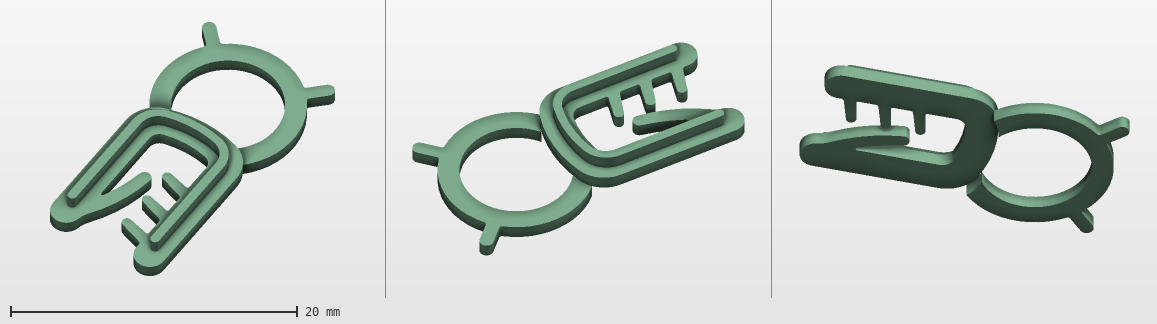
import cadquery as cq
import math

stack_height = 3
body_count = 3
layer = stack_height / body_count

ring_outer_radius = 5.5
ring_inner_radius = 3.98
horn_angles = (45, 135)
horn_tip_radius = 0.5
horn_tip_offset = ring_outer_radius - horn_tip_radius
horn_reach = horn_tip_offset * math.sqrt(2)
horn_root_fillet = 0.2

clip_half_width = 4.67
clip_top = -2.92
clip_bottom = -16.0
clip_crown_radius = 9.4
clip_corner_radius = 2.52
slot_half_width = 2.39
slot_top = -5.22
slot_crown_radius = 7.52
slot_corner_radius = 0.85
leg_end_radius = (clip_half_width - slot_half_width) / 2
leg_end_y = clip_bottom + leg_end_radius
leg_x = slot_half_width + leg_end_radius

tooth_count = 3
tooth_pitch = 2.5
tooth_tip_x = 0.58
first_tooth_y = -8.38
tooth_tip_radius = 0.37
tooth_upper_slope = math.radians(14.7)
tooth_lower_slope = math.radians(19)
tooth_upper_fillet = 0.13
tooth_lower_fillet = 0.25

lip_tip_x = -0.69
lip_tip_y = -9.33
lip_tip_radius = 0.47
lip_tilt = math.radians(9)
lip_inner_middle = (-1.61, -10.96)
lip_crotch = (-slot_half_width, -12.75)
lip_crotch_fillet = 0.13
lip_outer_middle = (-0.85, -11.95)
lip_outer_end = (-2.06, -14.23)
lip_blend_end = (-2.4, -15.1)

core_outer_half_width = 3.83
core_outer_top = -3.85
core_outer_crown_radius = 8.82
core_outer_corner_radius = 2.1
core_inner_half_width = 3.15
core_inner_top = -4.45
core_inner_crown_radius = 8.17
core_inner_corner_radius = 1.46
core_bottom = -14.5
core_end_radius = (core_outer_half_width - core_inner_half_width) / 2
core_end_y = core_bottom + core_end_radius
core_leg_x = core_inner_half_width + core_end_radius


def arch(half_width, top, crown_radius, corner_radius, foot_y, z):
    """One layer-thick plate with straight sides, tangent corners and a crowned top."""
    crown_y = top - crown_radius
    corner_x = half_width - corner_radius
    centre_gap = crown_radius - corner_radius
    corner_y = crown_y + math.sqrt(centre_gap**2 - corner_x**2)
    joint_angle = math.acos(corner_x / centre_gap)
    joint_x = crown_radius * math.cos(joint_angle)
    joint_y = crown_y + crown_radius * math.sin(joint_angle)
    middle_x = corner_x + corner_radius * math.cos(joint_angle / 2)
    middle_y = corner_y + corner_radius * math.sin(joint_angle / 2)
    return (
        cq.Workplane("XY", origin=(0, 0, z))
        .moveTo(half_width, foot_y)
        .lineTo(half_width, corner_y)
        .threePointArc((middle_x, middle_y), (joint_x, joint_y))
        .threePointArc((0, top), (-joint_x, joint_y))
        .threePointArc((-middle_x, middle_y), (-half_width, corner_y))
        .lineTo(-half_width, foot_y)
        .close()
        .extrude(layer)
    )


def leg_ends(x, y, radius, z):
    """Discs that round off both legs."""
    return cq.Workplane("XY", origin=(0, 0, z)).pushPoints([(-x, y), (x, y)]).circle(radius).extrude(layer)


def clip_arch(z):
    return arch(clip_half_width, clip_top, clip_crown_radius, clip_corner_radius, leg_end_y, z)


def fillet_edge(body, point, radius):
    """Round the upright edge nearest to a plan point."""
    edge = cq.selectors.NearestToPointSelector((*point, 1.5 * layer))
    return body.edges("|Z").edges(edge).fillet(radius)


def make_ring():
    ring = cq.Workplane("XY").circle(ring_outer_radius).extrude(layer)
    for angle in horn_angles:
        horn = cq.Workplane("XY").center(horn_reach / 2, 0).rect(horn_reach, 2 * horn_tip_radius).extrude(layer)
        tip = cq.Workplane("XY").center(horn_reach, 0).circle(horn_tip_radius).extrude(layer)
        ring = ring.union(horn.union(tip).rotate((0, 0, 0), (0, 0, 1), angle))
    root_reach = math.sqrt(ring_outer_radius**2 - horn_tip_radius**2)
    root_near = (root_reach - horn_tip_radius) / math.sqrt(2)
    root_far = (root_reach + horn_tip_radius) / math.sqrt(2)
    for side in (-1, 1):
        for root in ((side * root_near, root_far), (side * root_far, root_near)):
            ring = fillet_edge(ring, root, horn_root_fillet)
    bore = cq.Workplane("XY").circle(ring_inner_radius).extrude(layer)
    return ring.cut(bore).cut(clip_arch(0))


def add_tooth(clip, tip_y):
    upper_x = tooth_tip_x + tooth_tip_radius * math.sin(tooth_upper_slope)
    upper_y = tip_y + tooth_tip_radius * math.cos(tooth_upper_slope)
    lower_x = tooth_tip_x - tooth_tip_radius * math.sin(tooth_lower_slope)
    lower_y = tip_y - tooth_tip_radius * math.cos(tooth_lower_slope)
    upper_root = upper_y - (slot_half_width - upper_x) * math.tan(tooth_upper_slope)
    lower_root = lower_y - (slot_half_width - lower_x) * math.tan(tooth_lower_slope)
    tooth = (
        cq.Workplane("XY", origin=(0, 0, layer))
        .moveTo(slot_half_width, upper_root)
        .lineTo(upper_x, upper_y)
        .threePointArc((tooth_tip_x - tooth_tip_radius, tip_y), (lower_x, lower_y))
        .lineTo(slot_half_width, lower_root)
        .lineTo(leg_x, lower_root)
        .lineTo(leg_x, upper_root)
        .close()
        .extrude(layer)
    )
    clip = clip.union(tooth)
    clip = fillet_edge(clip, (slot_half_width, upper_root), tooth_upper_fillet)
    return fillet_edge(clip, (slot_half_width, lower_root), tooth_lower_fillet)


def add_lip(clip):
    across_x = lip_tip_radius * math.cos(lip_tilt)
    across_y = lip_tip_radius * math.sin(lip_tilt)
    along_x = lip_tip_radius * math.sin(lip_tilt)
    along_y = lip_tip_radius * math.cos(lip_tilt)
    lip = (
        cq.Workplane("XY", origin=(0, 0, layer))
        .moveTo(*lip_crotch)
        .threePointArc(lip_inner_middle, (lip_tip_x - across_x, lip_tip_y + across_y))
        .threePointArc(
            (lip_tip_x + along_x, lip_tip_y + along_y),
            (lip_tip_x + across_x, lip_tip_y - across_y),
        )
        .threePointArc(lip_outer_middle, lip_outer_end)
        .tangentArcPoint(lip_blend_end, relative=False)
        .lineTo(-leg_x, lip_blend_end[1])
        .lineTo(-leg_x, lip_crotch[1])
        .close()
        .extrude(layer)
    )
    return fillet_edge(clip.union(lip), lip_crotch, lip_crotch_fillet)


def make_clip():
    slot = arch(slot_half_width, slot_top, slot_crown_radius, slot_corner_radius, leg_end_y, layer)
    clip = clip_arch(layer).cut(slot).union(leg_ends(leg_x, leg_end_y, leg_end_radius, layer))
    for index in range(tooth_count):
        clip = add_tooth(clip, first_tooth_y - index * tooth_pitch)
    return add_lip(clip)


def make_core():
    z = 2 * layer
    outside = arch(
        core_outer_half_width, core_outer_top, core_outer_crown_radius, core_outer_corner_radius, core_end_y, z
    )
    inside = arch(
        core_inner_half_width, core_inner_top, core_inner_crown_radius, core_inner_corner_radius, core_end_y, z
    )
    return outside.cut(inside).union(leg_ends(core_leg_x, core_end_y, core_end_radius, z))


ring = make_ring()
clip = make_clip()
core = make_core()
result = cq.Compound.makeCompound([body.solids().val() for body in (ring, clip, core)])